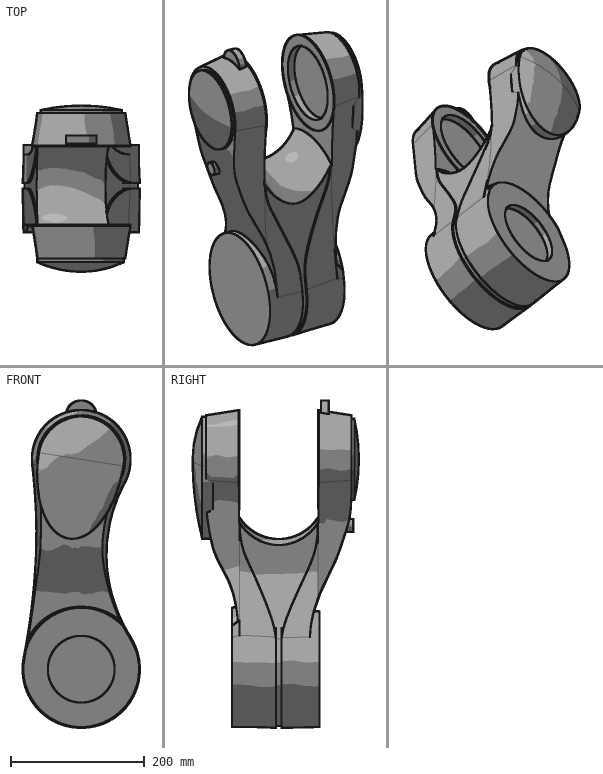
import cadquery as cq
import math


hub_radius = 87.9
eye_radius = 75.2
eye_height = 314.0
left_waist_radius = 930.0
right_waist_radius = 230.0

inner_face_y = 58.5
pad_height = 0.8
arm_top_y = 109.0
groove_half_width = 4.0
inner_inset = 1.2
outer_inset = 9.2
web_inset = 2.8

front_arm_curve = [(60, 45), (63, 88), (73.5, 129), (97.5, 178), (103.5, 205), (arm_top_y, 285)]
rear_arm_curve = [(46.7, 45), (52, 85), (64, 119), (87, 167), (101, 208), (arm_top_y, 290)]
front_throat_curve = [(groove_half_width, 36), (13.5, 84), (43, 154), (inner_face_y, 222)]
rear_throat_curve = [(groove_half_width, 36), (14.5, 84), (45.7, 154), (inner_face_y, 222)]

rear_hub_y = 61.0
front_hub_y = -70.0
collar_root_y = -59.0
collar_height = 6.0
collar_face_radius = 86.0
collar_root_radius = 89.0
hub_recess_diameter = 100.0
hub_recess_depth = 10.0

saddle_axis_height = 118.0
saddle_crest_height = 195.0
saddle_rim_height = 228.0
saddle_half_width = inner_face_y + pad_height
saddle_cut_radius = 320.0
saddle_sweep = 140.0

eye_recess_diameter = 114.0
eye_recess_depth = 11.5
cap_rim_radius = 64.0
cap_length = 120.0
cap_tilt = 9.0
cap_root_y = 98.0
cap_rim_y = 114.5
cap_crown_y = 129.0
rear_cap_radius = 61.0
rear_cap_root_y = 105.0
rear_cap_rim_y = 113.0
rear_cap_crown_y = 120.0
tab_radius = 23.0
tab_top = 402.3
tab_inner_y = 63.0
tab_thickness = 12.0
pin_diameter = 20.0
pin_height = 215.0
pin_root_y = 92.0
pin_end_y = 111.5

envelope_width = 250.0
envelope_bottom = -120.0
envelope_top = 420.0

FRONT = -1
REAR = 1
LEFT = -1
RIGHT = 1


def waist_center(waist_radius, side):
    """Centre of the concave arc tangent to both the hub and the eye circle."""
    hub_reach = waist_radius + hub_radius
    eye_reach = waist_radius + eye_radius
    z = (hub_reach**2 - eye_reach**2 + eye_height**2) / (2 * eye_height)
    return side * math.sqrt(hub_reach**2 - z**2), z


def point_toward(start, target, distance):
    dx = target[0] - start[0]
    dz = target[1] - start[1]
    length = math.hypot(dx, dz)
    return start[0] + dx / length * distance, start[1] + dz / length * distance


def outline(y, inset):
    """Closed link outline in the plane at y, shrunk inward by inset."""
    hub = (0.0, 0.0)
    eye = (0.0, eye_height)
    hub_r = hub_radius - inset
    eye_r = eye_radius - inset
    sides = []
    for side, radius in ((LEFT, left_waist_radius), (RIGHT, right_waist_radius)):
        center = waist_center(radius, side)
        hub_tangent = point_toward(hub, center, hub_r)
        eye_tangent = point_toward(eye, center, eye_r)
        middle = ((hub_tangent[0] + eye_tangent[0]) / 2, (hub_tangent[1] + eye_tangent[1]) / 2)
        waist = point_toward(center, middle, radius + inset)
        sides.append((hub_tangent, waist, eye_tangent))
    (hub_left, waist_left, eye_left), (hub_right, waist_right, eye_right) = sides
    arcs = [
        (hub_left, waist_left, eye_left),
        (eye_left, (0.0, eye_height + eye_r), eye_right),
        (eye_right, waist_right, hub_right),
        (hub_right, (0.0, -hub_r), hub_left),
    ]
    edges = [cq.Edge.makeThreePointArc(*[cq.Vector(x, y, z) for x, z in arc]) for arc in arcs]
    return cq.Wire.assembleEdges(edges)


def drafted_slab(y_start, inset_start, y_end, inset_end):
    wires = [outline(y_start, inset_start), outline(y_end, inset_end)]
    return cq.Workplane(cq.Solid.makeLoft(wires, True))


def disc(radius, y_start, y_end, height=0.0, end_radius=None):
    """Round body along Y; it is a cone when an end radius is given."""
    direction = cq.Vector(0, math.copysign(1, y_end - y_start), 0)
    base = cq.Vector(0, y_start, height)
    length = abs(y_end - y_start)
    if end_radius is None:
        return cq.Workplane(cq.Solid.makeCylinder(radius, length, base, direction))
    return cq.Workplane(cq.Solid.makeCone(radius, end_radius, length, base, direction))


def side_prism(curve, side):
    """Body along X from the mid plane to a curve that ends upright at both ends."""
    points = [(side * y, z) for y, z in curve]
    return (
        cq.Workplane("YZ", origin=(-envelope_width / 2, 0, 0))
        .moveTo(0, envelope_bottom)
        .lineTo(points[0][0], envelope_bottom)
        .lineTo(*points[0])
        .spline(points[1:], tangents=[(0, 1), (0, 1)], includeCurrent=True)
        .lineTo(points[-1][0], envelope_top)
        .lineTo(0, envelope_top)
        .close()
        .extrude(envelope_width)
    )


def make_arm(side, outer_curve, throat_curve):
    root = drafted_slab(side * groove_half_width, 0, side * inner_face_y, inner_inset)
    tip = drafted_slab(side * inner_face_y, inner_inset, side * arm_top_y, outer_inset)
    arm = root.union(tip).intersect(side_prism(outer_curve, side))
    throat = side_prism(throat_curve, side)
    web = drafted_slab(0, web_inset, side * inner_face_y, web_inset).intersect(throat)
    return arm.cut(throat).union(web)


def make_hub(side, face_y):
    return disc(hub_radius, side * groove_half_width, face_y, end_radius=hub_radius - inner_inset)


def make_front_collar():
    """Sloped step from the arm up to the hub face, trimmed to the link outline."""
    collar = disc(
        collar_root_radius, collar_root_y, front_hub_y, collar_height, collar_face_radius
    )
    trim = drafted_slab(collar_root_y, inner_inset, front_hub_y, inner_inset)
    return collar.intersect(trim)


def make_saddle_cutter():
    """Slot between the arms; its concave floor is swept about an axis along Y."""
    return (
        cq.Workplane("YZ")
        .moveTo(-saddle_half_width, saddle_cut_radius + saddle_axis_height)
        .lineTo(-saddle_half_width, saddle_rim_height)
        .threePointArc((0, saddle_crest_height), (saddle_half_width, saddle_rim_height))
        .lineTo(saddle_half_width, saddle_cut_radius + saddle_axis_height)
        .close()
        .revolve(saddle_sweep, (0, saddle_axis_height), (1, saddle_axis_height))
        .rotate((0, 0, saddle_axis_height), (0, 1, saddle_axis_height), -saddle_sweep / 2)
    )


def domed_disc(radius, root_y, rim_y, crown_y):
    """Disc about Y through the origin with a spherical crown, on the +Y side."""
    crown = crown_y - rim_y
    sphere_radius = (radius**2 + crown**2) / (2 * crown)
    half = math.asin(radius / sphere_radius) / 2
    middle_x = sphere_radius * math.sin(half)
    middle_y = crown_y - sphere_radius * (1 - math.cos(half))
    return (
        cq.Workplane("XY")
        .moveTo(0, root_y)
        .lineTo(radius, root_y)
        .lineTo(radius, rim_y)
        .threePointArc((middle_x, middle_y), (0, crown_y))
        .close()
        .revolve(360, (0, 0), (0, 1))
    )


def make_front_cap():
    """Egg-shaped domed cap: a round upper half and a stretched lower half."""
    dome = domed_disc(cap_rim_radius, cap_root_y, cap_rim_y, cap_crown_y)
    half_space = cq.Workplane("XY").box(
        envelope_width, 2 * envelope_width, envelope_width, centered=(True, True, False)
    )
    stretch = cap_length / cap_rim_radius
    upper = dome.intersect(half_space)
    lower = dome.cut(half_space).val()
    stretch_matrix = cq.Matrix([[1, 0, 0, 0], [0, 1, 0, 0], [0, 0, stretch, 0]])
    cap = upper.union(cq.Workplane(lower.transformGeometry(stretch_matrix)))
    return cap.mirror("XZ").rotate((0, 0, 0), (0, 1, 0), cap_tilt).translate((0, 0, eye_height))


def make_rear_cap():
    cap = domed_disc(rear_cap_radius, rear_cap_root_y, rear_cap_rim_y, rear_cap_crown_y)
    return cap.translate((0, 0, eye_height))


def make_pad(side):
    """Thin raised ring seat on the inner face of an eye."""
    start = side * inner_face_y
    return disc(eye_radius - inner_inset, start, start + side * 2 * pad_height, eye_height)


def make_tab():
    return disc(tab_radius, tab_inner_y, tab_inner_y + tab_thickness, tab_top - tab_radius)


def make_pin():
    return disc(pin_diameter / 2, pin_root_y, pin_end_y, pin_height)


link = make_arm(FRONT, front_arm_curve, front_throat_curve)
link = link.union(make_arm(REAR, rear_arm_curve, rear_throat_curve))
link = link.union(make_hub(FRONT, front_hub_y)).union(make_hub(REAR, rear_hub_y))
link = link.union(make_front_collar())
link = link.cut(make_saddle_cutter())
link = link.union(make_front_cap()).union(make_rear_cap())
link = link.union(make_tab()).union(make_pin())

hub_recess_floor = front_hub_y + hub_recess_depth
link = link.cut(disc(hub_recess_diameter / 2, front_hub_y, hub_recess_floor))
for side in (FRONT, REAR):
    link = link.union(make_pad(side))
    recess_floor = side * (inner_face_y + eye_recess_depth)
    link = link.cut(disc(eye_recess_diameter / 2, side * inner_face_y, recess_floor, eye_height))

result = link